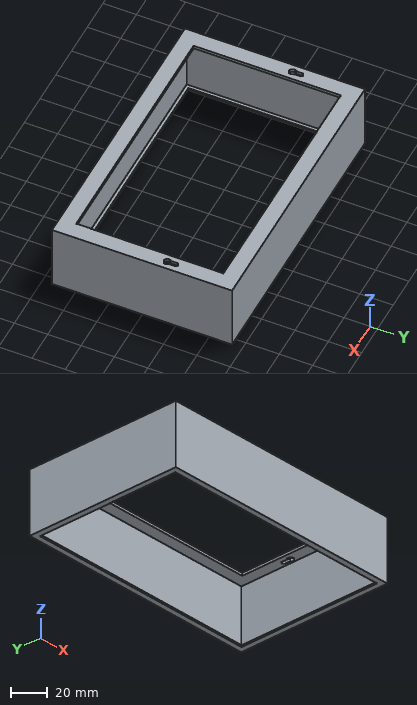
import cadquery as cq

length = 169.2
width = 108.1
height = 42.0

wall = 2.0
top_rim_width = 10.0
top_rim_thickness = 2.0
bottom_ledge_width = 4.0
bottom_ledge_thickness = 1.2

keyhole_head_diameter = 4.0
keyhole_slot_width = 2.5
keyhole_head_y = 12.9
keyhole_slot_end_y = 18.0
keyhole_x = length / 2 - top_rim_width / 2


def inset_block(inset, bottom, top):
    """Block between two heights, set in from the outer sides."""
    return (
        cq.Workplane("XY")
        .workplane(offset=bottom)
        .rect(length - 2 * inset, width - 2 * inset)
        .extrude(top - bottom)
    )


def keyhole(x):
    """Cutter through the top rim: round head with a narrower round-ended slot."""
    rim = cq.Workplane("XY").workplane(offset=height - top_rim_thickness)
    head = rim.center(x, keyhole_head_y).circle(keyhole_head_diameter / 2).extrude(top_rim_thickness)
    slot_run = keyhole_slot_end_y - keyhole_head_y
    slot = (
        rim.center(x, keyhole_head_y + slot_run / 2)
        .slot2D(slot_run + keyhole_slot_width, keyhole_slot_width, 90)
        .extrude(top_rim_thickness)
    )
    return head.union(slot)


box = inset_block(0, 0, height)
bottom_opening = inset_block(bottom_ledge_width, 0, bottom_ledge_thickness)
cavity = inset_block(wall, bottom_ledge_thickness, height - top_rim_thickness)
top_opening = inset_block(top_rim_width, height - top_rim_thickness, height)

result = box.cut(bottom_opening).cut(cavity).cut(top_opening)
for side in (-1, 1):
    result = result.cut(keyhole(side * keyhole_x))